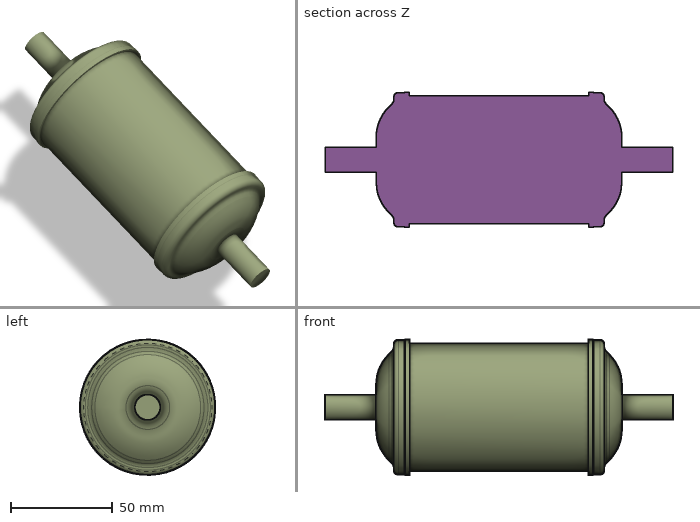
import cadquery as cq
import math

total_length = 172.0
pipe_radius = 12.5 / 2
shell_radius = 63.5 / 2

cap_open_end_x = 44.2
cap_rim_x = 52.1
cap_face_x = 60.9
cap_radius = 66.7 / 2
rim_fillet = 2.4

band_radius = 67.0 / 2
band_width = 2.2
band_taper = 0.3

flat_radius = 10.8
shoulder_radius = 21.7
cone_angle = math.radians(45)
root_fillet = 2.8


def dome_arc(center, radius, angle):
    """Point on an arc in the X-radius plane; the angle starts at +X."""
    return (center[0] + radius * math.cos(angle), center[1] + radius * math.sin(angle))


def cap():
    """Solid cap on the +X end, turned from its half outline."""
    band_end_x = cap_open_end_x + band_width
    shoulder_center = (cap_face_x - shoulder_radius, flat_radius)
    shoulder_end = dome_arc(shoulder_center, shoulder_radius, cone_angle)

    root_center_x = cap_rim_x + root_fillet
    cone_end_x = root_center_x - root_fillet * math.cos(cone_angle)
    cone_end_radius = shoulder_end[1] + (shoulder_end[0] - cone_end_x) / math.tan(cone_angle)
    root_center = (root_center_x, cone_end_radius + root_fillet * math.sin(cone_angle))
    root_mid = dome_arc(root_center, root_fillet, math.pi + cone_angle / 2)

    rim_center = (cap_rim_x - rim_fillet, cap_radius - rim_fillet)

    outline = (
        cq.Workplane("XY")
        .moveTo(cap_open_end_x, 0)
        .lineTo(cap_face_x, 0)
        .lineTo(cap_face_x, flat_radius)
        .threePointArc(dome_arc(shoulder_center, shoulder_radius, cone_angle / 2), shoulder_end)
        .lineTo(cone_end_x, cone_end_radius)
    )
    outline = (
        outline
        .threePointArc(root_mid, (cap_rim_x, root_center[1]))
        .lineTo(cap_rim_x, rim_center[1])
        .threePointArc(dome_arc(rim_center, rim_fillet, math.pi / 4), (rim_center[0], cap_radius))
        .lineTo(band_end_x + band_taper, cap_radius)
        .lineTo(band_end_x, band_radius)
        .lineTo(cap_open_end_x, band_radius)
        .close()
    )
    return outline.revolve(360, (0, 0, 0), (1, 0, 0))


def rod(radius, length):
    """Cylinder along X, centred on the origin."""
    return cq.Workplane("YZ").circle(radius).extrude(length / 2, both=True)


shell = rod(shell_radius, 2 * cap_open_end_x)
pipes = rod(pipe_radius, total_length)
right_cap = cap()
left_cap = right_cap.mirror("YZ")

result = shell.union(right_cap).union(left_cap).union(pipes)